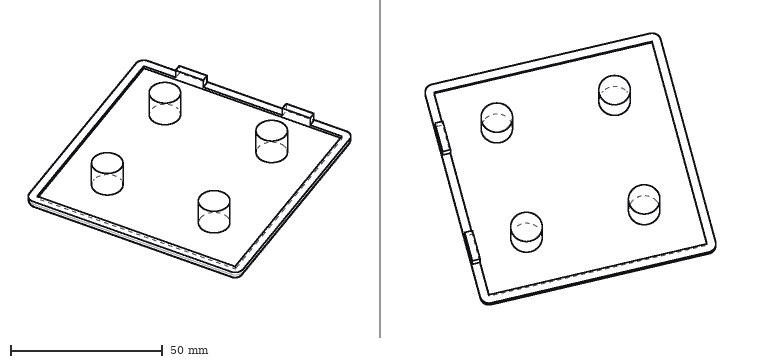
import cadquery as cq

side = 80.0
plate_height = 4.0
edge_radius = 3.0
rim_width = 3.0

recess_depth = 1.0
recess_side = side - 2 * rim_width
floor_height = plate_height - recess_depth

total_height = 12.5
post_diameter = 10.4
post_spacing = side / 2

tab_length = post_diameter
tab_setback = 0.3
tab_width = rim_width - tab_setback
tab_height = 3.0


def make_plate():
    """Square plate with rounded corners, a rounded lower edge and a shallow recess."""
    plate = cq.Workplane("XY").rect(side, side).extrude(plate_height)
    plate = plate.edges("|Z").fillet(edge_radius)
    plate = plate.faces("<Z").edges().fillet(edge_radius)
    recess = (
        cq.Workplane("XY")
        .workplane(offset=floor_height)
        .rect(recess_side, recess_side)
        .extrude(recess_depth)
    )
    return plate.cut(recess)


def make_posts():
    """Four round posts standing on the recess floor."""
    return (
        cq.Workplane("XY")
        .workplane(offset=floor_height)
        .rect(post_spacing, post_spacing, forConstruction=True)
        .vertices()
        .circle(post_diameter / 2)
        .extrude(total_height - floor_height)
    )


def make_tabs():
    """Two upright tabs flush with the inner edge of the +Y rim."""
    tab_y = recess_side / 2 + tab_width / 2
    return (
        cq.Workplane("XY")
        .workplane(offset=floor_height)
        .pushPoints([(-post_spacing / 2, tab_y), (post_spacing / 2, tab_y)])
        .rect(tab_length, tab_width)
        .extrude(recess_depth + tab_height)
    )


result = make_plate().union(make_posts()).union(make_tabs())